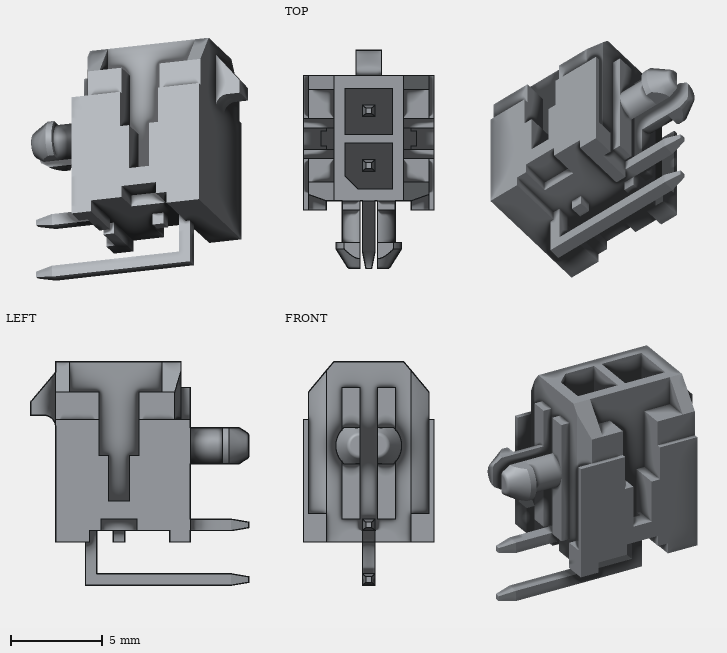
import cadquery as cq


housing_height = 9.88
housing_back = 7.37
front_face = 0.5
core_half = 1.91
body_half = 3.3
flange_half = 3.57
flange_top = 6.72
post_top = 8.2
rear_wall_start = 6.6
front_wall_end = 1.54
corner_cut_x = 2.31
corner_cut_y = 0.86
corner_foot_top = 1.57

slot_center = 3.9
wide_slot_width = 2.19
wide_slot_floor = 4.74
narrow_slot_width = 1.16
narrow_slot_floor = 2.25
pocket_x = 2.3
pocket_tab_x = 2.62
pocket_tab_width = 0.83
pocket_depth = 0.49
side_notch_width = 1.98
foot_height = 0.62
front_foot_end = 1.13
rear_foot_start = 5.51
post_length = 0.64

pitch = 2.99
pin_width = 0.71
pin_depth = 0.64
pin_end = -3.21
pin_top = 7.35
tip_length = 0.97
tip_width = 0.32
tip_depth = 0.3
front_pin_y = 2.44
front_pin_z = foot_height

cell_width = 2.57
cell_length = 2.52
cell_floor = narrow_slot_floor
front_cell_y = 2.41
cell_bevel = 0.7

latch_half = 0.7
latch_reach = 1.37
latch_ramp_top = 9.29
latch_nose_top = 7.66
latch_bottom = 6.94
latch_root_radius = 0.65

rib_inner = 0.47
rib_outer = 1.46
rib_bottom = foot_height + pin_depth
rib_top = 8.47
peg_z = 5.28
shaft_radius = rib_outer - rib_inner
head_radius = 1.33
head_start = -1.76
head_cone_start = -2.12
peg_tip_radius = 0.65
peg_tip_fillet = 0.25


def block(x0, x1, y0, y1, z0, z1):
    return cq.Workplane("XY").box(x1 - x0, y1 - y0, z1 - z0, centered=False).translate((x0, y0, z0))


def mirrored_pair(shape):
    return shape.union(shape.mirror("YZ"))


def shell():
    """Body with sloped top edges, open between the end walls, plus side flanges and feet."""
    outline = [
        (-body_half, 0),
        (body_half, 0),
        (body_half, post_top),
        (core_half, housing_height),
        (-core_half, housing_height),
        (-body_half, post_top),
    ]
    length = housing_back - front_face
    body = cq.Workplane("XZ", origin=(0, housing_back, 0)).polyline(outline).close().extrude(length)

    gap = block(core_half, flange_half, front_wall_end, rear_wall_start, post_top, housing_height)
    bevel = (
        cq.Workplane("XY")
        .polyline([(corner_cut_x, front_face), (body_half, front_face), (body_half, corner_cut_y)])
        .close()
        .extrude(housing_height)
    )
    flange = block(body_half, flange_half, 0, housing_back, 0, flange_top)
    foot = block(corner_cut_x, flange_half, 0, front_foot_end, 0, corner_foot_top)
    return body.cut(mirrored_pair(gap.union(bevel))).union(mirrored_pair(flange.union(foot)))


def side_cuts():
    """Stepped slot, floor pocket and lower notch of one side."""

    def centered_cut(x0, x1, width, z0, z1):
        return block(x0, x1, slot_center - width / 2, slot_center + width / 2, z0, z1)

    pocket_bottom = narrow_slot_floor - pocket_depth
    wide = centered_cut(core_half, flange_half, wide_slot_width, wide_slot_floor, housing_height)
    narrow = centered_cut(core_half, flange_half, narrow_slot_width, narrow_slot_floor, housing_height)
    pocket = centered_cut(core_half, pocket_x, narrow_slot_width, pocket_bottom, narrow_slot_floor)
    tab = centered_cut(core_half, pocket_tab_x, pocket_tab_width, pocket_bottom, narrow_slot_floor)
    notch = centered_cut(core_half, flange_half, side_notch_width, 0, rib_bottom)
    return wide.union(narrow).union(pocket).union(tab).union(notch)


def underside_recess():
    """Clearance between the front and rear feet, leaving a small post in the middle."""
    recess = block(-flange_half, flange_half, front_foot_end, rear_foot_start, 0, foot_height)
    post_start = slot_center - post_length / 2
    post = block(-pin_width / 2, pin_width / 2, post_start, post_start + post_length, 0, foot_height)
    return recess.cut(post)


def cells():
    """Two square cells; the front one has one beveled corner."""
    depth = housing_height - cell_floor
    cell = cq.Workplane("XY").box(cell_width, cell_length, depth, centered=(True, True, False))
    keyed_cell = cell.edges("|Z and <X and <Y").chamfer(cell_bevel)
    rear = cell.translate((0, front_cell_y + pitch, cell_floor))
    return keyed_cell.translate((0, front_cell_y, cell_floor)).union(rear)


def latch():
    root_end = housing_back + latch_root_radius
    nose = housing_back + latch_reach
    return (
        cq.Workplane("YZ", origin=(-latch_half, 0, 0))
        .moveTo(housing_back, latch_ramp_top)
        .lineTo(nose, latch_nose_top)
        .lineTo(nose, latch_bottom)
        .lineTo(root_end, latch_bottom)
        .radiusArc((housing_back, latch_bottom - latch_root_radius), -latch_root_radius)
        .close()
        .extrude(2 * latch_half)
    )


def rib_and_half_peg():
    """Rib on the +X side of the front face with its half of the split peg."""
    rib = block(rib_inner, rib_outer, 0, front_face, rib_bottom, rib_top)
    peg = (
        cq.Workplane("XY")
        .polyline([
            (0, 0),
            (shaft_radius, 0),
            (shaft_radius, head_start),
            (head_radius, head_start),
            (head_radius, head_cone_start),
            (peg_tip_radius, pin_end),
            (0, pin_end),
        ])
        .close()
        .revolve(360, (0, 0), (0, 1))
        .faces("<Y").edges().fillet(peg_tip_fillet)
    )
    half = block(0, head_radius, pin_end, 0, -shaft_radius, shaft_radius)
    return rib.union(peg.intersect(half).translate((rib_inner, 0, peg_z)))


def pin_tip(workplane):
    """Tapered end standing on the given workplane."""
    return (
        workplane.rect(pin_width, pin_depth)
        .workplane(offset=tip_length)
        .rect(tip_width, tip_depth)
        .loft(ruled=True)
    )


def pin(center_y, leg_bottom):
    """Bent pin: contact along Z at center_y and solder leg along -Y above leg_bottom."""
    half = pin_width / 2
    back = center_y + pin_depth / 2
    leg_top = leg_bottom + pin_depth
    contact_end = pin_top - tip_length
    leg_end = pin_end + tip_length
    contact = block(-half, half, back - pin_depth, back, leg_bottom, contact_end)
    leg = block(-half, half, leg_end, back, leg_bottom, leg_top)
    contact_tip = pin_tip(cq.Workplane("XY", origin=(0, center_y, contact_end)))
    leg_tip = pin_tip(cq.Workplane("XZ", origin=(0, leg_end, leg_bottom + pin_depth / 2)))
    return contact.union(leg).union(contact_tip).union(leg_tip)


def front_leg_slot():
    """Slot through the front foot below the front pin's leg."""
    return block(-pin_width / 2, pin_width / 2, front_face, front_foot_end, 0, front_pin_z)


pins = [pin(front_pin_y + row * pitch, front_pin_z - row * pitch) for row in range(2)]

housing = (
    shell()
    .cut(mirrored_pair(side_cuts()))
    .cut(underside_recess())
    .cut(cells())
    .cut(front_leg_slot())
    .union(latch())
    .union(mirrored_pair(rib_and_half_peg()))
)
for each_pin in pins:
    housing = housing.cut(each_pin)

result = cq.Compound.makeCompound([body.solids().val() for body in [housing, *pins]])